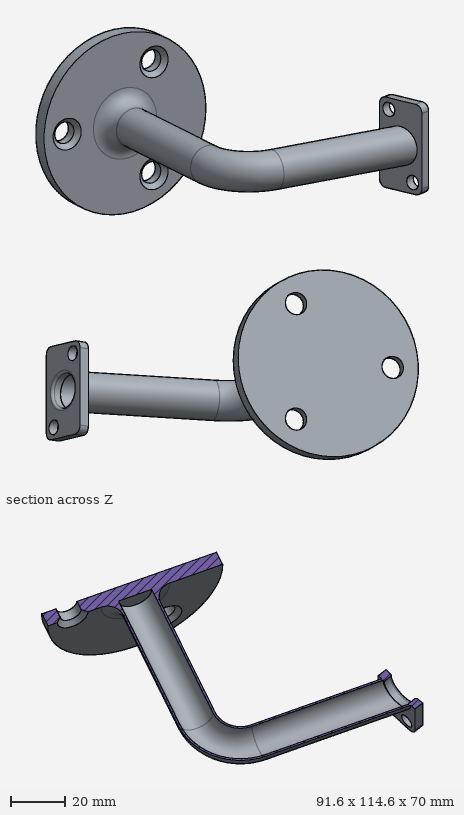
import cadquery as cq
import math

flange_diameter = 70.0
flange_thickness = 6.0
flange_hole_diameter = 8.2
flange_countersink_diameter = 12.1
flange_countersink_angle = 90
flange_hole_circle_diameter = 50.0
flange_hole_count = 3

bar_diameter = 15.0
bore_diameter = 13.0
bend_radius = 17.5
root_fillet = 6.2
outer_bar_x = 82.0

plate_tilt = 20
plate_width = 20.0
plate_height = 35.0
plate_thickness = 4.0
plate_corner_radius = 3.0
plate_centre_x = 82.2
plate_back_y = 72.4
screw_hole_diameter = 5.5
screw_hole_offset_x = 5.6
screw_hole_offset_z = 13.0

opening_rim_radius = 1.0

bar_radius = bar_diameter / 2
bend_start_x = outer_bar_x - bend_radius
bend_middle = bend_radius * math.sin(math.radians(45))


def make_flange():
    """Disc with equally spaced holes, one on the -Y side, countersunk on the bar side."""
    return (
        cq.Workplane("YZ")
        .circle(flange_diameter / 2)
        .extrude(flange_thickness)
        .faces(">X")
        .workplane()
        .polarArray(flange_hole_circle_diameter / 2, 180, 360, flange_hole_count)
        .cskHole(flange_hole_diameter, flange_countersink_diameter, flange_countersink_angle)
    )


def make_root_fillet():
    """Concave flare that blends the bar into the flange."""
    flare_end_x = flange_thickness + root_fillet
    flare_radius = bar_radius + root_fillet
    arc_offset = root_fillet * (1 - math.sin(math.radians(45)))
    return (
        cq.Workplane("XY")
        .moveTo(flange_thickness, 0)
        .lineTo(flange_thickness, flare_radius)
        .threePointArc(
            (flange_thickness + arc_offset, bar_radius + arc_offset),
            (flare_end_x, bar_radius),
        )
        .lineTo(flare_end_x, 0)
        .close()
        .revolve(360, (0, 0, 0), (1, 0, 0))
    )


def plate_plane():
    """Plane on the back of the plate: local x across it, local y up, normal outward."""
    tilt = math.radians(plate_tilt)
    return cq.Plane(
        origin=(plate_centre_x, plate_back_y, 0),
        xDir=(-math.cos(tilt), -math.sin(tilt), 0),
        normal=(-math.sin(tilt), math.cos(tilt), 0),
    )


def make_bent_rod(diameter):
    """Solid round rod along the bar axis, trimmed flush with the tilted back of the plate."""
    path = (
        cq.Workplane("XY")
        .moveTo(flange_thickness, 0)
        .lineTo(bend_start_x, 0)
        .threePointArc(
            (bend_start_x + bend_middle, bend_radius - bend_middle),
            (outer_bar_x, bend_radius),
        )
        .lineTo(outer_bar_x, plate_back_y + bar_radius)
    )
    rod = cq.Workplane("YZ", origin=(flange_thickness, 0, 0)).circle(diameter / 2).sweep(path)
    beyond_plate = cq.Workplane(plate_plane()).rect(plate_height, plate_height).extrude(bar_diameter)
    return rod.cut(beyond_plate)


def make_plate():
    """Rectangular plate with rounded corners, two diagonal screw holes and a central opening."""
    plane = plate_plane()
    screw_holes = (
        cq.Workplane(plane)
        .pushPoints([
            (screw_hole_offset_x, screw_hole_offset_z),
            (-screw_hole_offset_x, -screw_hole_offset_z),
        ])
        .circle(screw_hole_diameter / 2)
        .extrude(plate_thickness)
    )
    opening = cq.Workplane(plane).circle(bore_diameter / 2).extrude(plate_thickness)
    corner_edges = cq.selectors.ParallelDirSelector(plane.zDir)
    front_face = cq.selectors.DirectionMinMaxSelector(plane.zDir, True)
    return (
        cq.Workplane(plane)
        .rect(plate_width, plate_height)
        .extrude(plate_thickness)
        .edges(corner_edges)
        .fillet(plate_corner_radius)
        .cut(opening)
        .faces(front_face)
        .edges(cq.selectors.RadiusNthSelector(-1))
        .fillet(opening_rim_radius)
        .cut(screw_holes)
    )


tube = make_root_fillet().union(make_bent_rod(bar_diameter)).cut(make_bent_rod(bore_diameter))
result = make_flange().union(tube).union(make_plate())